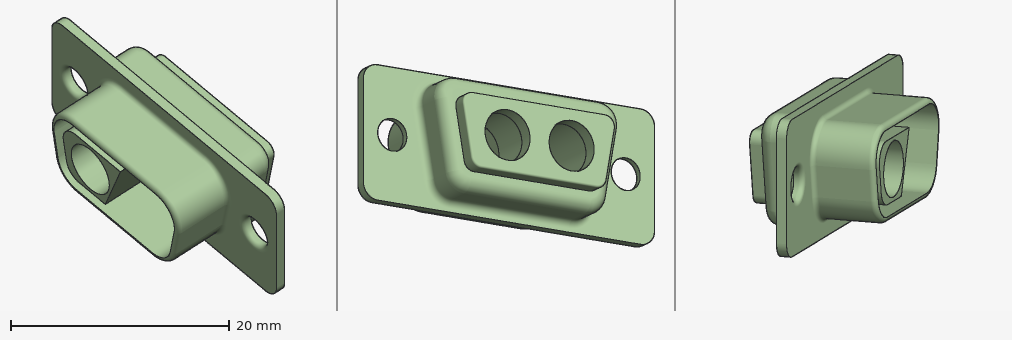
import cadquery as cq
import math


SIDE_SLOPE = math.radians(10)

PLATE_WIDTH = 31.19
PLATE_HEIGHT = 12.93
PLATE_THICKNESS = 1.0
PLATE_CORNER_RADIUS = 1.5
MOUNT_HOLE_SPACING = 25.0
MOUNT_HOLE_DIAMETER = 3.1
MOUNT_HOLE_ROUNDING = 0.5

SHELL_WIDTH = 17.8
SHELL_HEIGHT = 9.3
SHELL_CORNER_RADIUS = 3.1
SHELL_LENGTH = 6.1
SHELL_WALL = 0.53
SHELL_LIP_RADIUS = 0.5
SHELL_ROOT_RADIUS = 0.47

HOUSING_WIDTH = 19.3
HOUSING_HEIGHT = 10.8
HOUSING_CORNER_RADIUS = 2.0
HOUSING_LENGTH = 3.97
HOUSING_EDGE_RADIUS = 1.22
HOUSING_ROOT_RADIUS = 0.7
STEP_WIDTH = 16.2
STEP_HEIGHT = 7.1
STEP_CORNER_RADIUS = 1.05
STEP_LENGTH = 1.45
STEP_EDGE_RADIUS = 0.2

POST_HEIGHT = 6.03
POST_CORNER_RADIUS = 1.75
POST_LEFT = -7.2
POST_TOP_RIGHT = 0.75
POST_BOTTOM_RIGHT = -1.34
POST_RECESS = 0.1

CONTACT_SPACING = 6.86
CONTACT_BORE_DIAMETER = 4.82
CONTACT_COUNTERBORE_DIAMETER = 5.28

PLATE_BACK = PLATE_THICKNESS
SHELL_FRONT = -SHELL_LENGTH
SHELL_FLOOR = PLATE_THICKNESS / 2
POST_FRONT = SHELL_FRONT + POST_RECESS
HOUSING_BACK = PLATE_BACK + HOUSING_LENGTH
STEP_BACK = HOUSING_BACK + STEP_LENGTH
OVERLAP = 0.2
ROOT_SEARCH_MARGIN = 0.1


def section_at(y):
    """Workplane parallel to XZ at the given Y; extrusion runs toward +Y."""
    return cq.Workplane(cq.Plane(origin=(0, y, 0), xDir=(1, 0, 0), normal=(0, -1, 0)))


def corner_shift(height, radius):
    """Sideways offset between the upper and lower corner centers of a D outline."""
    return (height - 2 * radius) * math.tan(SIDE_SLOPE)


def d_prism(width, height, radius, start, end):
    """Prism with a rounded, symmetric D outline; the wider edge is at +Z."""
    top_x = width / 2 - radius
    bottom_x = top_x - corner_shift(height, radius)
    half = height / 2
    center_z = half - radius
    tangent_x = radius * math.cos(SIDE_SLOPE)
    tangent_z = radius * math.sin(SIDE_SLOPE)
    outline = (
        section_at(start)
        .moveTo(-top_x, half)
        .lineTo(top_x, half)
        .tangentArcPoint((top_x + tangent_x, center_z - tangent_z), relative=False)
        .lineTo(bottom_x + tangent_x, -center_z - tangent_z)
        .tangentArcPoint((bottom_x, -half), relative=False)
        .lineTo(-bottom_x, -half)
        .tangentArcPoint((-bottom_x - tangent_x, -center_z - tangent_z), relative=False)
        .lineTo(-top_x - tangent_x, center_z - tangent_z)
        .tangentArcPoint((-top_x, half), relative=False)
        .close()
    )
    return outline.extrude(start - end)


def cylinder(x, diameter, start, end):
    """Cylinder along Y, centered on the given X at mid-height."""
    return section_at(start).center(x, 0).circle(diameter / 2).extrude(start - end)


def make_plate():
    plate = section_at(0).rect(PLATE_WIDTH, PLATE_HEIGHT).extrude(-PLATE_THICKNESS)
    return plate.edges("|Y").fillet(PLATE_CORNER_RADIUS)


def make_shell():
    shell = d_prism(SHELL_WIDTH, SHELL_HEIGHT, SHELL_CORNER_RADIUS, SHELL_FRONT, OVERLAP)
    return shell.faces("<Y").edges().fillet(SHELL_LIP_RADIUS)


def make_housing():
    housing = d_prism(
        HOUSING_WIDTH, HOUSING_HEIGHT, HOUSING_CORNER_RADIUS, PLATE_BACK - OVERLAP, HOUSING_BACK
    )
    return housing.faces(">Y").edges().fillet(HOUSING_EDGE_RADIUS)


def make_step():
    step = d_prism(STEP_WIDTH, STEP_HEIGHT, STEP_CORNER_RADIUS, HOUSING_BACK - OVERLAP, STEP_BACK)
    return step.faces(">Y").edges().fillet(STEP_EDGE_RADIUS)


def round_roots(body):
    """Concave fillets where the shell and the housing meet the plate."""
    roots = (
        (0, SHELL_WIDTH, SHELL_HEIGHT, SHELL_ROOT_RADIUS),
        (PLATE_BACK, HOUSING_WIDTH, HOUSING_HEIGHT, HOUSING_ROOT_RADIUS),
    )
    for y, width, height, radius in roots:
        selector = cq.selectors.BoxSelector(
            (-width / 2 - ROOT_SEARCH_MARGIN, y - ROOT_SEARCH_MARGIN, -height / 2 - ROOT_SEARCH_MARGIN),
            (width / 2 + ROOT_SEARCH_MARGIN, y + ROOT_SEARCH_MARGIN, height / 2 + ROOT_SEARCH_MARGIN),
        )
        body = body.edges(selector).fillet(radius)
    return body


def make_cavity():
    """Hollow of the shell, leaving an even wall."""
    return d_prism(
        SHELL_WIDTH - 2 * SHELL_WALL,
        SHELL_HEIGHT - 2 * SHELL_WALL,
        SHELL_CORNER_RADIUS - SHELL_WALL,
        SHELL_FRONT,
        SHELL_FLOOR,
    )


def make_post():
    """Block with a rounded left side and a slanted, sharp-cornered right side."""
    half = POST_HEIGHT / 2
    center_z = half - POST_CORNER_RADIUS
    top_x = POST_LEFT + POST_CORNER_RADIUS
    bottom_x = top_x + corner_shift(POST_HEIGHT, POST_CORNER_RADIUS)
    tangent_x = POST_CORNER_RADIUS * math.cos(SIDE_SLOPE)
    tangent_z = POST_CORNER_RADIUS * math.sin(SIDE_SLOPE)
    post_back = SHELL_FLOOR + OVERLAP
    outline = (
        section_at(POST_FRONT)
        .moveTo(top_x, half)
        .lineTo(POST_TOP_RIGHT, half)
        .lineTo(POST_BOTTOM_RIGHT, -half)
        .lineTo(bottom_x, -half)
        .tangentArcPoint((bottom_x - tangent_x, -center_z - tangent_z), relative=False)
        .lineTo(top_x - tangent_x, center_z - tangent_z)
        .tangentArcPoint((top_x, half), relative=False)
        .close()
    )
    return outline.extrude(POST_FRONT - post_back)


def cut_contact_bores(body):
    """Two through bores, widened from the front down to the start of the step."""
    for x in (-CONTACT_SPACING / 2, CONTACT_SPACING / 2):
        body = body.cut(cylinder(x, CONTACT_BORE_DIAMETER, SHELL_FRONT, STEP_BACK))
        body = body.cut(cylinder(x, CONTACT_COUNTERBORE_DIAMETER, SHELL_FRONT, HOUSING_BACK))
    return body


def cut_mount_holes(body):
    """Plate holes with a rounded front edge, shaped by leaving a torus out of the wider mouth."""
    for x in (-MOUNT_HOLE_SPACING / 2, MOUNT_HOLE_SPACING / 2):
        hole = cylinder(x, MOUNT_HOLE_DIAMETER, 0, PLATE_BACK)
        mouth_diameter = MOUNT_HOLE_DIAMETER + 2 * MOUNT_HOLE_ROUNDING
        mouth = cylinder(x, mouth_diameter, 0, MOUNT_HOLE_ROUNDING)
        ring = cq.Solid.makeTorus(
            mouth_diameter / 2,
            MOUNT_HOLE_ROUNDING,
            cq.Vector(x, MOUNT_HOLE_ROUNDING, 0),
            cq.Vector(0, 1, 0),
        )
        body = body.cut(hole).cut(mouth.cut(cq.Workplane(ring)))
    return body


body = make_plate().union(make_shell()).union(make_housing())
body = round_roots(body)
body = body.union(make_step())
body = body.cut(make_cavity()).union(make_post())
body = cut_contact_bores(body)
result = cut_mount_holes(body)